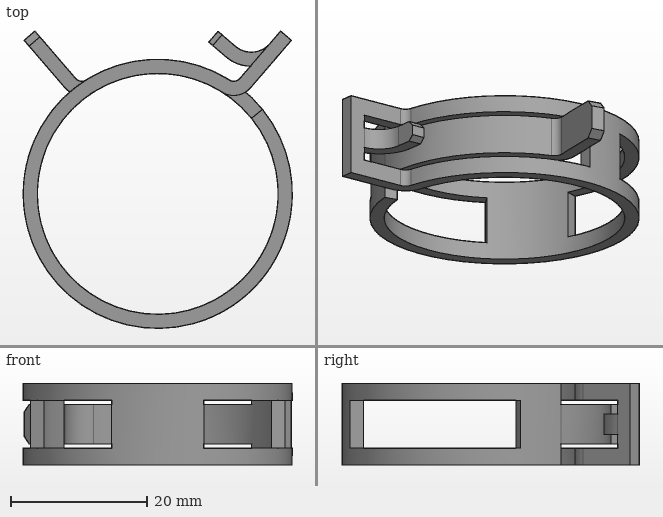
import cadquery as cq
import math


outer_diameter = 39.5
overall_length = 43.65
band_width = 12.0
thickness = 2.1
slot_width = 7.0
tongue_width = 5.8
outer_radius = outer_diameter / 2
inner_radius = outer_radius - thickness

tab_end_angle = 38.9
window_upper_angle = 19.0
window_lower_angle = -70.0

bend_angle = 57.8
bend_inner_radius = 1.2
bend_outer_radius = bend_inner_radius + thickness
arm_tilt = 49.3
tongue_tip_chamfer = 1.15

slot_end_to_tip = 2.45
hook_width = 3.05
hook_inner_radius = 3.6
hook_outer_radius = hook_inner_radius + thickness
hook_straight = 3.35
hook_tip_chamfer = 0.8


def polar(radius, angle, centre=(0.0, 0.0)):
    """Point at a radius and an angle in degrees from a centre."""
    radians = math.radians(angle)
    return (centre[0] + radius * math.cos(radians), centre[1] + radius * math.sin(radians))


arm_normal = arm_tilt + 90
bend_centre = polar(inner_radius + bend_outer_radius, bend_angle)
arm_root = polar(bend_inner_radius, arm_normal + 180, bend_centre)
tip_height = overall_length - outer_radius
arm_length = (tip_height - arm_root[1]) / math.sin(math.radians(arm_tilt))
slot_reach = arm_length - slot_end_to_tip


def extrude_mid(outline, width):
    """Extrude a plan outline by a total width, centred on Z = 0."""
    return outline.extrude(width / 2, both=True)


def ring_sector(start, end, width):
    """Piece of the ring between two angles."""
    middle = (start + end) / 2
    outline = (
        cq.Workplane("XY")
        .moveTo(*polar(outer_radius, start))
        .threePointArc(polar(outer_radius, middle), polar(outer_radius, end))
        .lineTo(*polar(inner_radius, end))
        .threePointArc(polar(inner_radius, middle), polar(inner_radius, start))
        .close()
    )
    return extrude_mid(outline, width)


def bent_strip(start, length, width):
    """Strip from a start angle, clockwise round the ring and out to a length of straight arm."""
    ring_middle = (start + bend_angle) / 2
    bend_start = bend_angle + 180
    bend_end = arm_normal + 180
    bend_middle = (bend_start + bend_end) / 2
    notch_start = polar(bend_inner_radius, bend_start, bend_centre)
    arm_tip = polar(length, arm_tilt, arm_root)
    outline = (
        cq.Workplane("XY")
        .moveTo(*polar(outer_radius, start))
        .threePointArc(polar(outer_radius, ring_middle), notch_start)
        .threePointArc(polar(bend_inner_radius, bend_middle, bend_centre), arm_root)
        .lineTo(*arm_tip)
        .lineTo(*polar(thickness, arm_normal + 180, arm_tip))
        .lineTo(*polar(bend_outer_radius, bend_end, bend_centre))
        .threePointArc(
            polar(bend_outer_radius, bend_middle, bend_centre),
            polar(bend_outer_radius, bend_start, bend_centre),
        )
        .threePointArc(polar(inner_radius, ring_middle), polar(inner_radius, start))
        .close()
    )
    return extrude_mid(outline, width)


def chamfer_tip(strip, edge_angle, size):
    """Cut the two corners of a strip end whose thickness edges run at edge_angle."""
    direction = cq.Vector(*polar(1, edge_angle))
    return strip.edges(cq.selectors.ParallelDirSelector(direction)).chamfer(size)


def wide_band():
    """Full-width strip with two windows and the slot for the tongue."""
    band = bent_strip(360 + tab_end_angle, arm_length, band_width)
    band = band.cut(ring_sector(window_lower_angle, window_upper_angle, slot_width))
    band = band.cut(ring_sector(180 - window_upper_angle, 180 - window_lower_angle, slot_width))
    return band.cut(bent_strip(180 - tab_end_angle, slot_reach, slot_width))


def tongue():
    """Narrow strip from the wide tab, over the top of the ring, to the arm on the -X side."""
    strip = bent_strip(180 - tab_end_angle, arm_length, tongue_width)
    return chamfer_tip(strip, arm_normal, tongue_tip_chamfer).mirror("YZ")


def hook():
    """Tab from the slot end, turned through a right angle toward the other arm."""
    root = polar(slot_reach, arm_tilt, arm_root)
    centre = polar(hook_inner_radius, arm_normal, root)
    arc_start = arm_normal + 180
    arc_end = arc_start - 90
    arc_middle = (arc_start + arc_end) / 2
    inner_end = polar(hook_inner_radius, arc_end, centre)
    outer_end = polar(hook_outer_radius, arc_end, centre)
    outline = (
        cq.Workplane("XY")
        .moveTo(*root)
        .threePointArc(polar(hook_inner_radius, arc_middle, centre), inner_end)
        .lineTo(*polar(hook_straight, arm_normal, inner_end))
        .lineTo(*polar(hook_straight, arm_normal, outer_end))
        .lineTo(*outer_end)
        .threePointArc(
            polar(hook_outer_radius, arc_middle, centre),
            polar(hook_outer_radius, arc_start, centre),
        )
        .close()
    )
    return chamfer_tip(extrude_mid(outline, hook_width), arm_tilt, hook_tip_chamfer)


result = wide_band().union(tongue()).union(hook())